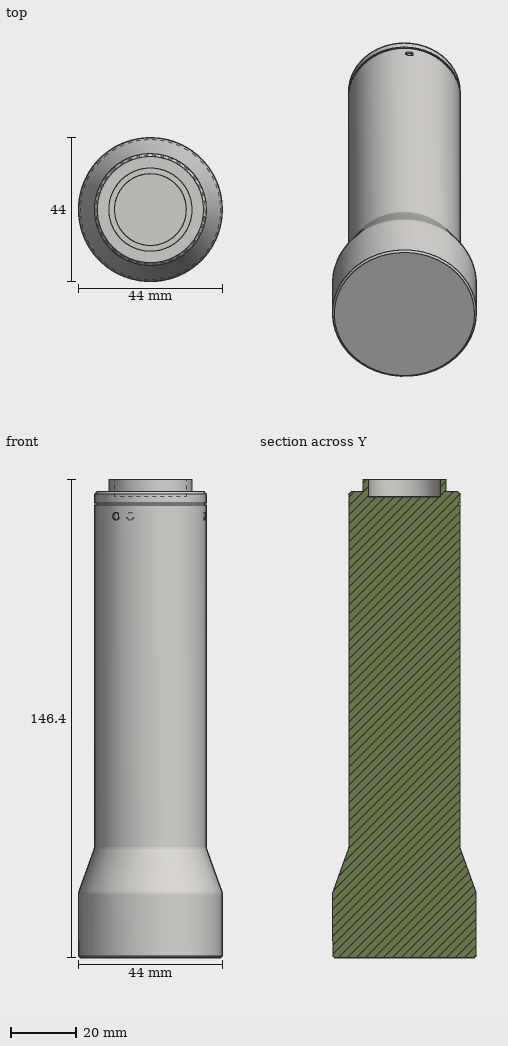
import cadquery as cq
import math

total_length = 146.4
head_diameter = 44.0
head_radius = head_diameter / 2
body_radius = 17.1

head_chamfer = 0.6
flare_bottom = 19.9
flare_top = 33.5
flare_blend = 2.2

collar_height = 3.7
collar_radius = 12.7
cap_height = 3.5
cap_chamfer = 0.9
groove_width = 0.7
groove_depth = 0.5
bore_radius = 11.0
bore_depth = 5.3

hole_count = 3
hole_radius = 1.2
hole_depth = 0.6
hole_height = 135.1
first_hole_angle = 231.5

cap_top = total_length - collar_height
groove_top = cap_top - cap_height
groove_bottom = groove_top - groove_width
groove_radius = body_radius - groove_depth


def turned_body():
    """Revolve the half profile, drawn as radius and height, about Z."""
    profile = (
        cq.Workplane("XZ")
        .lineTo(head_radius - head_chamfer, 0)
        .lineTo(head_radius, head_chamfer)
        .lineTo(head_radius, flare_bottom)
        .lineTo(body_radius, flare_top)
        .lineTo(body_radius, groove_bottom)
        .lineTo(groove_radius, groove_bottom)
        .lineTo(groove_radius, groove_top)
        .lineTo(body_radius, groove_top)
        .lineTo(body_radius, cap_top - cap_chamfer)
        .lineTo(body_radius - cap_chamfer, cap_top)
        .lineTo(collar_radius, cap_top)
        .lineTo(collar_radius, total_length)
        .lineTo(bore_radius, total_length)
        .lineTo(bore_radius, total_length - bore_depth)
        .lineTo(0, total_length - bore_depth)
        .close()
    )
    return profile.revolve(360, (0, 0, 0), (0, 1, 0))


def blend_flare(body):
    """Round the two circular edges where the flare meets the head and the body."""
    flare_heights = cq.selectors.BoxSelector(
        (-head_radius, -head_radius, flare_bottom - flare_blend),
        (head_radius, head_radius, flare_top + flare_blend),
    )
    flare_circles = body.edges("%CIRCLE").filter(lambda edge: flare_heights.filter([edge]))
    return flare_circles.fillet(flare_blend)


def radial_hole(angle_degrees):
    """Cutter that enters the body wall radially to the hole depth."""
    angle = math.radians(angle_degrees)
    outward = cq.Vector(math.cos(angle), math.sin(angle), 0)
    floor_center = outward * (body_radius - hole_depth) + cq.Vector(0, 0, hole_height)
    return cq.Solid.makeCylinder(hole_radius, 2 * hole_depth, floor_center, outward)


result = blend_flare(turned_body())
for index in range(hole_count):
    result = result.cut(radial_hole(first_hole_angle + index * 360 / hole_count))